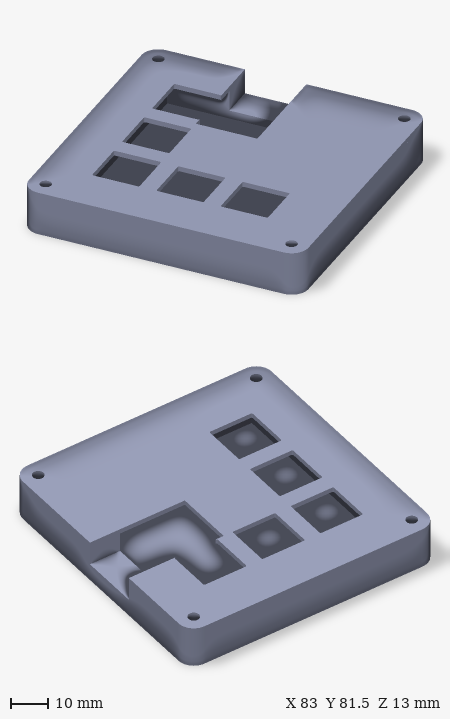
import cadquery as cq

case_length = 83.0
case_width = 81.5
case_height = 13.0
corner_radius = 5.0
plate_thickness = 1.5
tray_height = case_height - plate_thickness

wall_thickness = 9.9
floor_thickness = 3.0
cavity_length = case_length - 2 * wall_thickness
cavity_width = case_width - 2 * wall_thickness

screw_diameter = 3.4
screw_span_x = case_length - 2 * corner_radius
screw_span_y = case_width - 2 * corner_radius

key_size = 14.0
key_corner_radius = 0.4
key_pitch = 19.1
corner_key_x = -20.2
corner_key_y = -19.3
key_cells = [(0, 0), (1, 0), (2, 0), (0, 1), (0, 2)]

notch_width = 18.3
notch_left = corner_key_x + key_size / 2
notch_center_x = notch_left + notch_width / 2
notch_front = 9.6
notch_length = case_width / 2 - notch_front
notch_floor = 5.5


def rounded_slab(height):
    """Slab with the outline of the case, standing on Z = 0."""
    return (
        cq.Workplane("XY")
        .box(case_length, case_width, height, centered=(True, True, False))
        .edges("|Z")
        .fillet(corner_radius)
    )


def screw_holes(body):
    """Drill the four corner screw holes through a body."""
    return (
        body.faces(">Z")
        .workplane(origin=(0, 0, 0))
        .rect(screw_span_x, screw_span_y, forConstruction=True)
        .vertices()
        .hole(screw_diameter)
    )


def notch_cutter(bottom):
    """Block that clears the notch from the given height to the top of the case."""
    return (
        cq.Workplane("XY")
        .box(notch_width, notch_length, case_height - bottom, centered=(True, False, False))
        .translate((notch_center_x, notch_front, bottom))
    )


def key_cutter(column, row):
    """Square prism with softened corners for one key opening."""
    center = (corner_key_x + column * key_pitch, corner_key_y + row * key_pitch, tray_height)
    return (
        cq.Workplane("XY")
        .box(key_size, key_size, plate_thickness, centered=(True, True, False))
        .edges("|Z")
        .fillet(key_corner_radius)
        .translate(center)
    )


def make_tray():
    """Lower body: thick-walled tray with the notch cut into its +Y wall."""
    cavity = (
        cq.Workplane("XY")
        .box(cavity_length, cavity_width, tray_height - floor_thickness, centered=(True, True, False))
        .translate((0, 0, floor_thickness))
    )
    tray = rounded_slab(tray_height).cut(cavity).cut(notch_cutter(notch_floor))
    return screw_holes(tray)


def make_plate():
    """Upper body: flat plate lying on the tray, with the key openings and the notch."""
    plate = screw_holes(rounded_slab(plate_thickness)).translate((0, 0, tray_height))
    for column, row in key_cells:
        plate = plate.cut(key_cutter(column, row))
    return plate.cut(notch_cutter(tray_height))


tray = make_tray()
plate = make_plate()

result = cq.Compound.makeCompound([tray.val(), plate.val()])